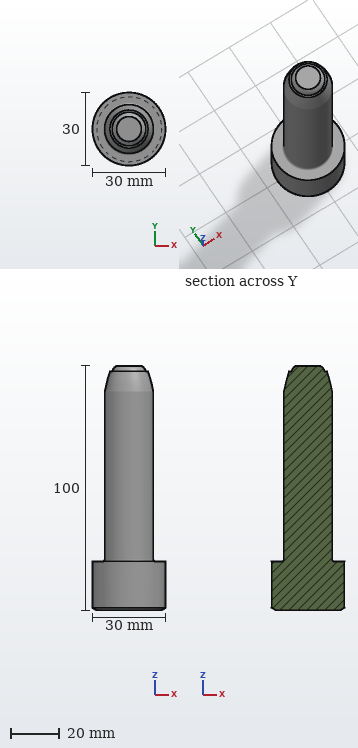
import cadquery as cq
import math

total_length = 100.0
head_diameter = 30.0
head_height = 20.0
shank_diameter = 20.0

head_chamfer_width = 1.7
head_chamfer_height = 1.0
root_fillet_radius = 0.8

nose_length = 10.6
nose_top_diameter = 15.6
flank_radius = 50.0

tip_height = 2.3
tip_base_diameter = 13.8
tip_flat_diameter = 10.2
tip_side_radius = 3.5

head_radius = head_diameter / 2
shank_radius = shank_diameter / 2
nose_base_z = total_length - nose_length
tip_base_z = total_length - tip_height


def bulge_point(start, end, radius):
    """Middle of the arc from start up to end that bulges away from the pin axis."""
    chord_r = end[0] - start[0]
    chord_z = end[1] - start[1]
    chord = math.hypot(chord_r, chord_z)
    rise = radius - math.sqrt(radius**2 - (chord / 2) ** 2)
    middle_r = (start[0] + end[0]) / 2 + rise * chord_z / chord
    middle_z = (start[1] + end[1]) / 2 - rise * chord_r / chord
    return (middle_r, middle_z)


def add_head(outline):
    """Chamfered bottom edge, cylindrical side and top shoulder of the head."""
    return (
        outline.lineTo(head_radius - head_chamfer_width, 0)
        .lineTo(head_radius, head_chamfer_height)
        .lineTo(head_radius, head_height)
        .lineTo(shank_radius + root_fillet_radius, head_height)
    )


def add_shank(outline):
    """Concave root fillet and the cylindrical shank."""
    fillet_end = (shank_radius, head_height + root_fillet_radius)
    return outline.radiusArc(fillet_end, root_fillet_radius).lineTo(shank_radius, nose_base_z)


def add_nose(outline):
    """Bulging flank that narrows from the shank to the tip."""
    start = (shank_radius, nose_base_z)
    end = (nose_top_diameter / 2, tip_base_z)
    return outline.threePointArc(bulge_point(start, end, flank_radius), end)


def add_tip(outline):
    """Narrow ledge, rounded side and flat end of the tip button."""
    start = (tip_base_diameter / 2, tip_base_z)
    end = (tip_flat_diameter / 2, total_length)
    side_middle = bulge_point(start, end, tip_side_radius)
    return outline.lineTo(*start).threePointArc(side_middle, end).lineTo(0, total_length)


half_section = cq.Workplane("XZ").moveTo(0, 0)
half_section = add_head(half_section)
half_section = add_shank(half_section)
half_section = add_nose(half_section)
half_section = add_tip(half_section).close()

result = half_section.revolve(360, (0, 0, 0), (0, 1, 0))